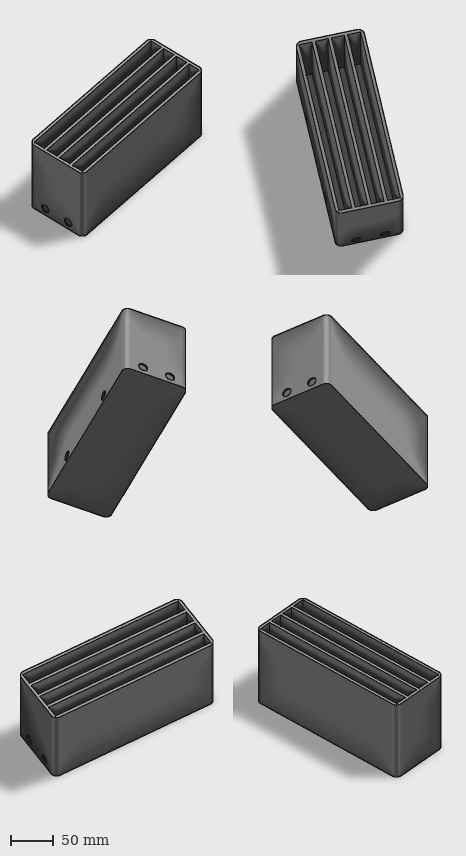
import cadquery as cq

width = 82.0
length = 222.0
height = 108.0
corner_radius = 7.3

slot_count = 4
wall = 4.0
floor = 4.0
slot_width = (width - (slot_count + 1) * wall) / slot_count
slot_length = length - 2 * wall
slot_pitch = slot_width + wall

recess_diameter = 11.5
recess_depth = 1.8
recess_height = 11.0
end_recess_spacing = 34.9
end_recess_offset = 0.7
side_recess_spacing = 103.0


def make_block():
    block = cq.Workplane("XY").box(width, length, height, centered=(True, True, False))
    return block.edges("|Z").fillet(corner_radius)


def make_slots():
    return (
        cq.Workplane("XY")
        .workplane(offset=floor)
        .rarray(slot_pitch, 2.2, slot_count, 1)
        .rect(slot_width, slot_length)
        .extrude(height - floor)
    )


def make_recess(x, y, inward):
    """Blind round recess whose mouth is centred at (x, y) and which runs along inward."""
    mouth = cq.Vector(x, y, recess_height)
    return cq.Solid.makeCylinder(recess_diameter / 2, recess_depth, mouth, cq.Vector(*inward))


result = make_block().cut(make_slots())

for side in (-1, 1):
    end_x = end_recess_offset + side * end_recess_spacing / 2
    result = result.cut(make_recess(end_x, -length / 2, (0, 1, 0)))

    side_y = side * side_recess_spacing / 2
    result = result.cut(make_recess(-width / 2, side_y, (1, 0, 0)))